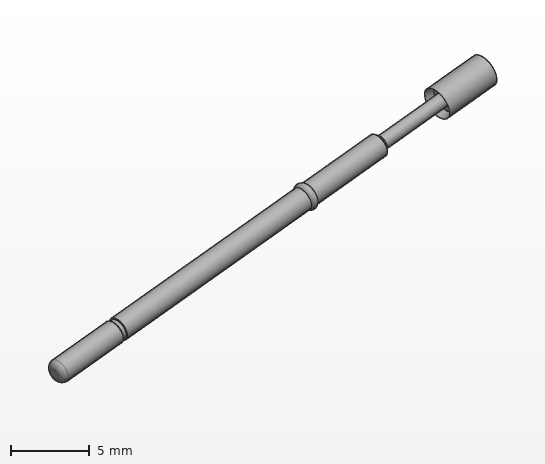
import cadquery as cq

overall_length = 38.1

head_radius = 1.15
head_length = 4.2
recess_floor_radius = 1.0
recess_depth = 0.65

stem_radius = 0.5

barrel_radius = 0.83
barrel_length = 28.95
mouth_radius = 0.6
mouth_length = 0.25
nose_length = 0.45
nose_arc_radius = 0.48
tip_radius = 0.38

collar_radius = 0.97
collar_length = 0.56
collar_offset = 6.4

tail_length = 5.3
groove_width = 0.38
groove_depth = 0.12
groove_taper_length = 0.1

tip_y = -overall_length / 2
head_top_y = overall_length / 2
head_bottom_y = head_top_y - head_length
recess_floor_y = head_bottom_y + recess_depth
mouth_y = tip_y + barrel_length
collar_top_y = mouth_y - collar_offset
collar_bottom_y = collar_top_y - collar_length
nose_y = tip_y + nose_length
groove_bottom_y = tip_y + tail_length
groove_top_y = groove_bottom_y + groove_width


def revolve_about_y(profile):
    return profile.close().revolve(360, (0, 0, 0), (0, 1, 0))


def make_barrel():
    profile = (
        cq.Workplane("XY")
        .moveTo(0, tip_y)
        .lineTo(tip_radius, tip_y)
        .radiusArc((barrel_radius, nose_y), -nose_arc_radius)
        .lineTo(barrel_radius, mouth_y - mouth_length)
        .lineTo(mouth_radius, mouth_y)
        .lineTo(0, mouth_y)
    )
    return revolve_about_y(profile)


def make_collar():
    collar_middle_y = (collar_bottom_y + collar_top_y) / 2
    profile = (
        cq.Workplane("XY")
        .moveTo(0, collar_bottom_y)
        .lineTo(barrel_radius, collar_bottom_y)
        .threePointArc((collar_radius, collar_middle_y), (barrel_radius, collar_top_y))
        .lineTo(0, collar_top_y)
    )
    return revolve_about_y(profile)


def make_groove_cutter():
    groove_floor_radius = barrel_radius - groove_depth
    profile = (
        cq.Workplane("XY")
        .moveTo(barrel_radius, groove_bottom_y)
        .lineTo(groove_floor_radius, groove_bottom_y + groove_taper_length)
        .lineTo(groove_floor_radius, groove_top_y)
        .lineTo(barrel_radius, groove_top_y)
    )
    return revolve_about_y(profile)


def make_head():
    profile = (
        cq.Workplane("XY")
        .moveTo(0, recess_floor_y)
        .lineTo(recess_floor_radius, recess_floor_y)
        .lineTo(head_radius, head_bottom_y)
        .lineTo(head_radius, head_top_y)
        .lineTo(0, head_top_y)
    )
    return revolve_about_y(profile)


def make_stem():
    stem_length = recess_floor_y - mouth_y
    return cq.Workplane("XZ", origin=(0, mouth_y, 0)).circle(stem_radius).extrude(-stem_length)


barrel = make_barrel().union(make_collar()).cut(make_groove_cutter())
result = barrel.union(make_stem()).union(make_head())